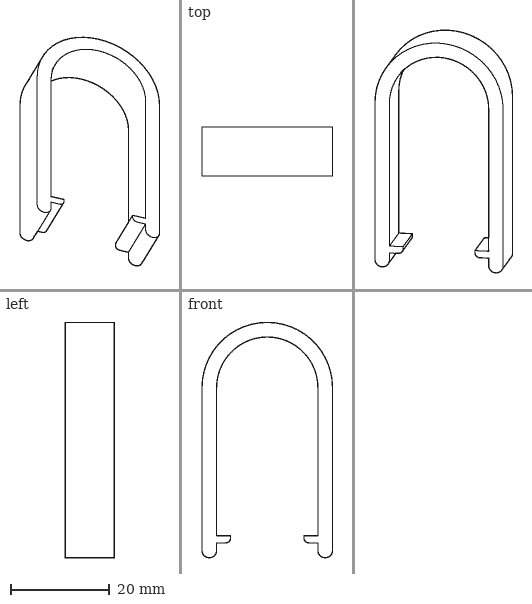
import cadquery as cq

height = 47.75
width = 26.5
depth = 10.0
wall = 3.0

hook_reach = 2.8
hook_thickness = 1.5
hook_bottom_height = 3.0
hook_round = 1.0

outer_radius = width / 2
inner_radius = outer_radius - wall
foot_radius = wall / 2
bottom = -height / 2
foot_z = bottom + foot_radius
arch_z = height / 2 - outer_radius


def make_strap():
    """Arched strap with straight legs and fully rounded feet."""
    foot_x = inner_radius + foot_radius
    return (
        cq.Workplane("XZ")
        .moveTo(-outer_radius, foot_z)
        .lineTo(-outer_radius, arch_z)
        .threePointArc((0, height / 2), (outer_radius, arch_z))
        .lineTo(outer_radius, foot_z)
        .threePointArc((foot_x, bottom), (inner_radius, foot_z))
        .lineTo(inner_radius, arch_z)
        .threePointArc((0, arch_z + inner_radius), (-inner_radius, arch_z))
        .lineTo(-inner_radius, foot_z)
        .threePointArc((-foot_x, bottom), (-outer_radius, foot_z))
        .close()
        .extrude(depth / 2, both=True)
    )


def make_hook():
    """Hook on the +X leg, with its lower inner edge rounded."""
    tip_x = inner_radius - hook_reach
    root_x = inner_radius + foot_radius
    hook_bottom = bottom + hook_bottom_height
    hook_top = hook_bottom + hook_thickness
    return (
        cq.Workplane("XZ")
        .moveTo(root_x, hook_top)
        .lineTo(tip_x, hook_top)
        .lineTo(tip_x, hook_bottom + hook_round)
        .radiusArc((tip_x + hook_round, hook_bottom), -hook_round)
        .lineTo(root_x, hook_bottom)
        .close()
        .extrude(depth / 2, both=True)
    )


hook = make_hook()
result = make_strap().union(hook).union(hook.mirror("YZ"))